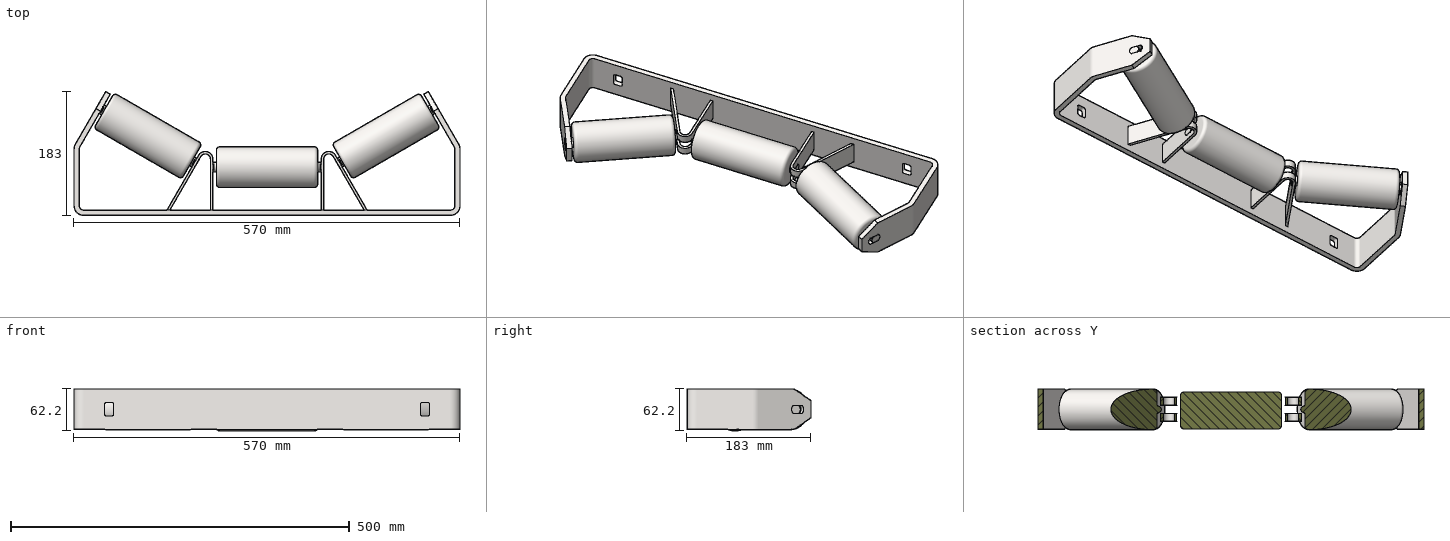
import cadquery as cq
import math


FRAME_LENGTH = 570.0
FRAME_DEPTH = 183.0
FRAME_HEIGHT = 60.0
FRAME_THICKNESS = 8.0
FRAME_BEND_RADIUS = 14.0
ARM_BEND_START = 98.0
TIP_TAPER_LENGTH = 29.0
TIP_HEIGHT = 25.5
MOUNT_SLOT_SPACING = 466.0
MOUNT_SLOT_LENGTH = 20.0
MOUNT_SLOT_WIDTH = 13.5
MOUNT_SLOT_ROUNDING = 3.0

TILT = 30.0
TILT_COS = math.cos(math.radians(TILT))
TILT_SIN = math.sin(math.radians(TILT))

BRACKET_THICKNESS = 4.0
BRACKET_BEND_RADIUS = 11.5
BRACKET_BEND_X = 91.0
BRACKET_BEND_Y = 83.0
BRACKET_HEIGHT = 36.0
BRACKET_BOTTOM = (FRAME_HEIGHT - BRACKET_HEIGHT) / 2

ROLLER_DIAMETER = 60.5
ROLLER_LENGTH = 150.0
ROLLER_ROUNDING = 5.0
SHAFT_DIAMETER = 15.0
SHAFT_FLAT_WIDTH = 12.0
SHAFT_SLOT_LENGTH = 20.5
SHOULDER_GAP = 1.5
CENTRE_ROLLER_Y = 71.0
CENTRE_ROLLER_Z = 28.0
OUTER_ROLLER_Z = 29.5
OUTER_AXIS_Y = 161.0
OUTER_ROLLER_GAP = 4.0

HALF_LENGTH = FRAME_LENGTH / 2
BEND_CENTRE_X = HALF_LENGTH - FRAME_BEND_RADIUS
ARM_START = (BEND_CENTRE_X + FRAME_BEND_RADIUS * TILT_COS, ARM_BEND_START + FRAME_BEND_RADIUS * TILT_SIN)
ARM_LENGTH = (FRAME_DEPTH - ARM_START[1]) / TILT_COS

AXIS_ALONG_ARM = (OUTER_AXIS_Y - ARM_START[1]) / TILT_COS
OUTER_SHAFT_END = (ARM_START[0] - AXIS_ALONG_ARM * TILT_SIN, OUTER_AXIS_Y)
BRACKET_BEND_INNER = BRACKET_BEND_RADIUS - BRACKET_THICKNESS
OUTER_SHAFT_LENGTH = (
    (OUTER_SHAFT_END[0] - BRACKET_BEND_X) * TILT_COS
    + (OUTER_SHAFT_END[1] - BRACKET_BEND_Y) * TILT_SIN
    - BRACKET_BEND_INNER
)
CENTRE_SHAFT_LENGTH = 2 * (BRACKET_BEND_X - BRACKET_BEND_INNER)


def mirrored(body):
    return body.mirror("YZ")


def place_along_right_arm(body):
    """Move a body whose +X is the outer roller's axis, origin at its shaft end, into place."""
    return body.rotate((0, 0, 0), (0, 0, 1), 180 + TILT).translate((*OUTER_SHAFT_END, OUTER_ROLLER_Z))


def make_shaft_slot(depth):
    """Cutter from X = 0 to depth; the shaft rests at its -Y end and it runs on in +Y."""
    travel = SHAFT_SLOT_LENGTH - SHAFT_DIAMETER
    outline = (
        cq.Workplane("YZ")
        .center(travel / 2, 0)
        .slot2D(SHAFT_SLOT_LENGTH, SHAFT_DIAMETER)
        .extrude(depth)
    )
    flats = cq.Workplane("XY").box(2 * depth, 2 * SHAFT_SLOT_LENGTH, SHAFT_FLAT_WIDTH)
    return outline.intersect(flats.translate((0, travel / 2, 0)))


def make_outer_slot(start, depth):
    cutter = make_shaft_slot(depth).translate((start, 0, 0)).mirror("XZ")
    return place_along_right_arm(cutter)


def make_centre_slot():
    cutter = make_shaft_slot(BRACKET_THICKNESS)
    return cutter.translate((CENTRE_SHAFT_LENGTH / 2 - BRACKET_THICKNESS, CENTRE_ROLLER_Y, CENTRE_ROLLER_Z))


def make_crown_window():
    window = cq.Workplane("XY").box(2 * BRACKET_BEND_RADIUS, BRACKET_BEND_RADIUS, SHAFT_FLAT_WIDTH)
    middle_y = BRACKET_BEND_Y + BRACKET_BEND_RADIUS / 2
    return window.translate((BRACKET_BEND_X, middle_y, OUTER_ROLLER_Z))


def make_frame():
    tip = (ARM_START[0] - ARM_LENGTH * TILT_SIN, FRAME_DEPTH)
    inner_face = HALF_LENGTH - FRAME_THICKNESS
    arm_inner_start = (ARM_START[0] - FRAME_THICKNESS * TILT_COS, ARM_START[1] - FRAME_THICKNESS * TILT_SIN)
    tip_inner = (tip[0] - FRAME_THICKNESS * TILT_COS, tip[1] - FRAME_THICKNESS * TILT_SIN)
    half = (
        cq.Workplane("XY")
        .lineTo(BEND_CENTRE_X, 0)
        .tangentArcPoint((HALF_LENGTH, FRAME_BEND_RADIUS), relative=False)
        .lineTo(HALF_LENGTH, ARM_BEND_START)
        .tangentArcPoint(ARM_START, relative=False)
        .lineTo(*tip)
        .lineTo(*tip_inner)
        .lineTo(*arm_inner_start)
        .tangentArcPoint((inner_face, ARM_BEND_START), relative=False)
        .lineTo(inner_face, FRAME_BEND_RADIUS)
        .tangentArcPoint((BEND_CENTRE_X, FRAME_THICKNESS), relative=False)
        .lineTo(0, FRAME_THICKNESS)
        .close()
        .extrude(FRAME_HEIGHT)
    )
    half = half.cut(make_tip_tapers())
    half = half.cut(make_outer_slot(0, FRAME_THICKNESS))
    half = half.cut(make_mount_slot())
    return half.union(mirrored(half))


def make_tip_tapers():
    """Two wedges that narrow the arm to TIP_HEIGHT at its end."""
    to_tip = AXIS_ALONG_ARM - ARM_LENGTH
    taper_start = to_tip + TIP_TAPER_LENGTH
    rise = (FRAME_HEIGHT - TIP_HEIGHT) / 2
    lower = (
        cq.Workplane("YZ")
        .polyline([(to_tip, 0), (taper_start, 0), (to_tip, rise)])
        .close()
        .extrude(FRAME_THICKNESS)
    )
    upper = lower.mirror("XY").translate((0, 0, FRAME_HEIGHT))
    return place_along_right_arm(lower.union(upper).translate((0, 0, -OUTER_ROLLER_Z)))


def make_mount_slot():
    return (
        cq.Workplane("XZ", origin=(MOUNT_SLOT_SPACING / 2, 0, FRAME_HEIGHT / 2))
        .rect(MOUNT_SLOT_WIDTH, MOUNT_SLOT_LENGTH)
        .extrude(-FRAME_THICKNESS)
        .edges("|Y")
        .fillet(MOUNT_SLOT_ROUNDING)
    )


def make_bracket():
    """Right bracket: an upright leg, a bend over the top and a leg sloping down to the bar."""

    def slope_start(radius):
        return (BRACKET_BEND_X + radius * TILT_COS, BRACKET_BEND_Y + radius * TILT_SIN)

    def slope_foot(radius):
        x, y = slope_start(radius)
        return (x + (y - FRAME_THICKNESS) * TILT_SIN / TILT_COS, FRAME_THICKNESS)

    upright_outer = BRACKET_BEND_X - BRACKET_BEND_RADIUS
    upright_inner = BRACKET_BEND_X - BRACKET_BEND_INNER
    bracket = (
        cq.Workplane("XY", origin=(0, 0, BRACKET_BOTTOM))
        .moveTo(upright_outer, FRAME_THICKNESS)
        .lineTo(upright_outer, BRACKET_BEND_Y)
        .tangentArcPoint(slope_start(BRACKET_BEND_RADIUS), relative=False)
        .lineTo(*slope_foot(BRACKET_BEND_RADIUS))
        .lineTo(*slope_foot(BRACKET_BEND_INNER))
        .lineTo(*slope_start(BRACKET_BEND_INNER))
        .tangentArcPoint((upright_inner, BRACKET_BEND_Y), relative=False)
        .lineTo(upright_inner, FRAME_THICKNESS)
        .close()
        .extrude(BRACKET_HEIGHT)
    )
    bracket = bracket.cut(make_crown_window())
    bracket = bracket.cut(make_centre_slot())
    return bracket.cut(make_outer_slot(OUTER_SHAFT_LENGTH - BRACKET_THICKNESS, BRACKET_THICKNESS))


def make_roller(shaft_length, roller_start, start_plate, end_plate):
    """Roller along +X from its shaft end at the origin.

    The shaft is flattened at each end, where it passes through a plate of the given thickness.
    """
    start_flat = start_plate + SHOULDER_GAP
    end_flat = end_plate + SHOULDER_GAP
    shell = (
        cq.Workplane("YZ", origin=(roller_start, 0, 0))
        .circle(ROLLER_DIAMETER / 2)
        .extrude(ROLLER_LENGTH)
        .edges()
        .fillet(ROLLER_ROUNDING)
    )
    shaft = cq.Workplane("YZ").circle(SHAFT_DIAMETER / 2).extrude(shaft_length)
    for middle, length in (
        (start_flat / 2, start_flat),
        (shaft_length - end_flat / 2, end_flat),
    ):
        stock = cq.Workplane("XY").box(length, SHAFT_DIAMETER, SHAFT_DIAMETER)
        flats = stock.cut(cq.Workplane("XY").box(length, SHAFT_DIAMETER, SHAFT_FLAT_WIDTH))
        shaft = shaft.cut(flats.translate((middle, 0, 0)))
    return shell.union(shaft)


def make_centre_roller():
    roller_start = (CENTRE_SHAFT_LENGTH - ROLLER_LENGTH) / 2
    roller = make_roller(CENTRE_SHAFT_LENGTH, roller_start, BRACKET_THICKNESS, BRACKET_THICKNESS)
    return roller.translate((-CENTRE_SHAFT_LENGTH / 2, CENTRE_ROLLER_Y, CENTRE_ROLLER_Z))


def make_outer_roller():
    roller_start = FRAME_THICKNESS + OUTER_ROLLER_GAP
    roller = make_roller(OUTER_SHAFT_LENGTH, roller_start, FRAME_THICKNESS, BRACKET_THICKNESS)
    return place_along_right_arm(roller)


frame = make_frame()
centre_roller = make_centre_roller()
brackets = []
outer_rollers = []
for on_left in (False, True):
    bracket = make_bracket()
    roller = make_outer_roller()
    brackets.append(mirrored(bracket) if on_left else bracket)
    outer_rollers.append(mirrored(roller) if on_left else roller)

bodies = [frame, *brackets, centre_roller, *outer_rollers]
result = cq.Compound.makeCompound([body.val() for body in bodies])